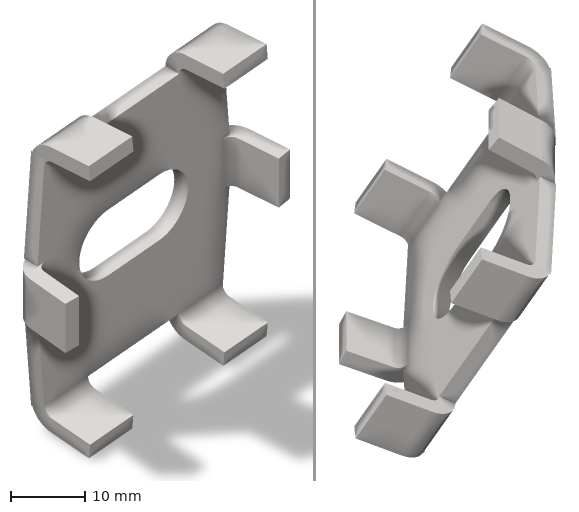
import cadquery as cq
import math

size_x = 10.8
size_y = 44.4
size_z = 50.95
thickness = 2.5
inner_radius = 1.5
bend_angle = 85.0
tab_width = 8.55
edge_overrun = 1.3
tab_spacing = 26.55
slot_length = 21.45
slot_width = 11.45

outer_radius = inner_radius + thickness
lean = math.radians(90.0 - bend_angle)
leg_length = (size_x - outer_radius + inner_radius * math.sin(lean)) / math.cos(lean)
tab_reach = outer_radius * math.cos(lean) + leg_length * math.sin(lean)

bend_start_y = size_y / 2 - tab_reach
bend_start_z = size_z / 2 - tab_reach
middle_half_width = bend_start_y + edge_overrun
corner_z = bend_start_z + edge_overrun
corner_half_width = (tab_spacing + tab_width) / 2


def bend_point(radius, turn):
    """Point (x, outward) on the bend, after turning by the angle from the plate."""
    return (outer_radius - radius * math.cos(turn), radius * math.sin(turn))


def make_tab(bend_start, offset):
    """Tab bent off the +Z edge, centred at Y = offset."""
    turn = math.radians(bend_angle)
    outer_mid = bend_point(outer_radius, turn / 2)
    outer_end = bend_point(outer_radius, turn)
    inner_mid = bend_point(inner_radius, turn / 2)
    inner_end = bend_point(inner_radius, turn)
    leg_x = leg_length * math.cos(lean)
    leg_z = leg_length * math.sin(lean)
    return (
        cq.Workplane("XZ", origin=(0, offset, bend_start))
        .moveTo(0, 0)
        .threePointArc(outer_mid, outer_end)
        .line(leg_x, leg_z)
        .lineTo(inner_end[0] + leg_x, inner_end[1] + leg_z)
        .lineTo(*inner_end)
        .threePointArc(inner_mid, (thickness, 0))
        .close()
        .extrude(tab_width / 2, both=True)
    )


def make_plate():
    """Flat plate with sloped sides, cut back to the start of each bend."""
    half_tab = tab_width / 2
    outline = [
        (-corner_half_width, -corner_z),
        (corner_half_width, -corner_z),
        (middle_half_width, -half_tab),
        (middle_half_width, half_tab),
        (corner_half_width, corner_z),
        (-corner_half_width, corner_z),
        (-middle_half_width, half_tab),
        (-middle_half_width, -half_tab),
    ]
    plate = cq.Workplane("YZ").polyline(outline).close().extrude(thickness)
    for side in (-1, 1):
        end_clearance = cq.Workplane("XY").box(
            thickness, 2 * corner_half_width, edge_overrun
        ).translate((thickness / 2, 0, side * (bend_start_z + edge_overrun / 2)))
        middle_clearance = cq.Workplane("XY").box(
            thickness, edge_overrun, tab_width
        ).translate((thickness / 2, side * (bend_start_y + edge_overrun / 2), 0))
        plate = plate.cut(end_clearance).cut(middle_clearance)
    slot = cq.Workplane("YZ").slot2D(slot_length, slot_width).extrude(thickness)
    return plate.cut(slot)


body = make_plate()
end_tabs = make_tab(bend_start_z, -tab_spacing / 2).union(make_tab(bend_start_z, tab_spacing / 2))
middle_tab = make_tab(bend_start_y, 0)
for end_tab_pair in (end_tabs, end_tabs.mirror("XY")):
    body = body.union(end_tab_pair)
for quarter_turn in (-90, 90):
    body = body.union(middle_tab.rotate((0, 0, 0), (1, 0, 0), quarter_turn))

result = body